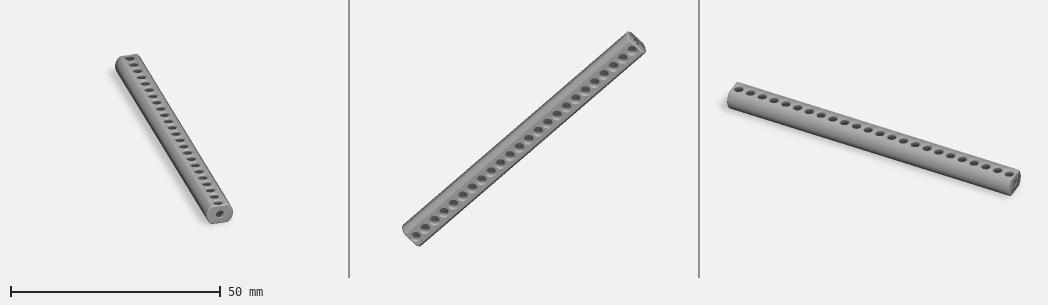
import cadquery as cq

length = 75.0
rod_diameter = 6.6
height_across_flats = 5.0
end_chamfer = 0.26

bore_diameter = 2.0

hole_count = 24
hole_pitch = length / hole_count
hole_diameter = 2.0
countersink_diameter = 2.6


def make_bar():
    """Flatted rod centred on the origin, chamfered around both ends."""
    rod = cq.Workplane("YZ").circle(rod_diameter / 2).extrude(length / 2, both=True)
    flats = cq.Workplane("XY").box(length, rod_diameter, height_across_flats)
    return rod.intersect(flats).faces("<X or >X").chamfer(end_chamfer)


def cut_bore(body):
    """Drill the axial bore from end to end."""
    bore = cq.Workplane("YZ").circle(bore_diameter / 2).extrude(length / 2, both=True)
    return body.cut(bore)


def cut_hole_row(body):
    """Drill the row of through holes, countersunk on both flats."""
    countersink_depth = (countersink_diameter - hole_diameter) / 2
    half_height = height_across_flats / 2
    half_profile = [
        (0, -half_height),
        (countersink_diameter / 2, -half_height),
        (hole_diameter / 2, -half_height + countersink_depth),
        (hole_diameter / 2, half_height - countersink_depth),
        (countersink_diameter / 2, half_height),
        (0, half_height),
    ]
    drill = cq.Workplane("XZ").polyline(half_profile).close().revolve(360, (0, 0), (0, 1))
    for index in range(hole_count):
        hole_x = (index + 0.5) * hole_pitch - length / 2
        body = body.cut(drill.translate((hole_x, 0, 0)))
    return body


bar = make_bar()
bored_bar = cut_bore(bar)
result = cut_hole_row(bored_bar)